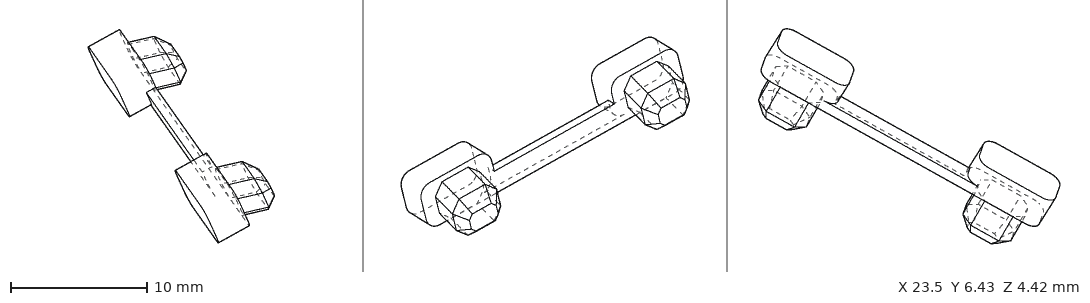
import cadquery as cq
import math

TILT = 20.0

OVERALL_LENGTH = 23.47
LEFT_PAD_WIDTH = 6.07
RIGHT_PAD_WIDTH = 6.43
PAD_HEIGHT = 3.75
PAD_DEPTH = 2.62
PAD_CORNER_RADIUS = 1.0

BAR_HEIGHT = 1.8
BAR_DEPTH = 0.8

PEG_SPACING = 17.25
LEFT_PEG_INSET = 3.0
PEG_WIDTH = 4.05
PEG_HEIGHT = 3.05
PEG_CORNER = 0.83
PEG_STRAIGHT_LENGTH = 2.09
PEG_TIP_LENGTH = 0.9
PEG_TIP_INSET = 0.8
PEG_ROOT_DEPTH = 0.65
PEG_CENTER_DROP = 0.21

LEFT_PEG_X = -PEG_SPACING / 2
RIGHT_PEG_X = PEG_SPACING / 2
LEFT_END = LEFT_PEG_X - LEFT_PEG_INSET
RIGHT_END = LEFT_END + OVERALL_LENGTH


def leaning_block(x_min, x_max, v_min, height, depth):
    """Block whose rear face lies on Y = 0 before the lean about the X axis."""
    return cq.Workplane("XY").box(x_max - x_min, depth, height, centered=False).translate(
        (x_min, -depth, v_min)
    )


def lean(body):
    """Tip a body about the X axis so that its rear face looks slightly upward."""
    return body.rotate((0, 0, 0), (1, 0, 0), TILT)


def pad(x_min, x_max):
    body = leaning_block(x_min, x_max, -PAD_HEIGHT / 2, PAD_HEIGHT, PAD_DEPTH)
    return lean(body.edges("|Y").fillet(PAD_CORNER_RADIUS))


def bar():
    return lean(leaning_block(LEFT_PEG_X, RIGHT_PEG_X, -PAD_HEIGHT / 2, BAR_HEIGHT, BAR_DEPTH))


def peg_section(center_x, distance, inset):
    """Octagon in a plane parallel to the pad rear face, `distance` behind it along Y."""
    half_width = PEG_WIDTH / 2 - inset
    half_height = PEG_HEIGHT / 2 - inset
    corner = PEG_CORNER - inset * (2 - math.sqrt(2))
    flat_x = half_width - corner
    flat_z = half_height - corner
    outline = [
        (-flat_x, -half_height),
        (flat_x, -half_height),
        (half_width, -flat_z),
        (half_width, flat_z),
        (flat_x, half_height),
        (-flat_x, half_height),
        (-half_width, flat_z),
        (-half_width, -flat_z),
    ]
    points = []
    for x, z_offset in outline:
        z = z_offset - PEG_CENTER_DROP
        y = distance - z * math.tan(math.radians(TILT))
        points.append(cq.Vector(center_x + x, y, z))
    return cq.Wire.makePolygon(points, close=True)


def peg(center_x):
    root = peg_section(center_x, -PEG_ROOT_DEPTH, 0)
    shoulder = peg_section(center_x, PEG_STRAIGHT_LENGTH, 0)
    tip = peg_section(center_x, PEG_STRAIGHT_LENGTH + PEG_TIP_LENGTH, PEG_TIP_INSET)
    shank = cq.Solid.makeLoft([root, shoulder], True)
    nose = cq.Solid.makeLoft([shoulder, tip], True)
    return cq.Workplane(obj=shank.fuse(nose))


result = pad(LEFT_END, LEFT_END + LEFT_PAD_WIDTH)
result = result.union(pad(RIGHT_END - RIGHT_PAD_WIDTH, RIGHT_END))
result = result.union(bar())
for peg_x in (LEFT_PEG_X, RIGHT_PEG_X):
    result = result.union(peg(peg_x))